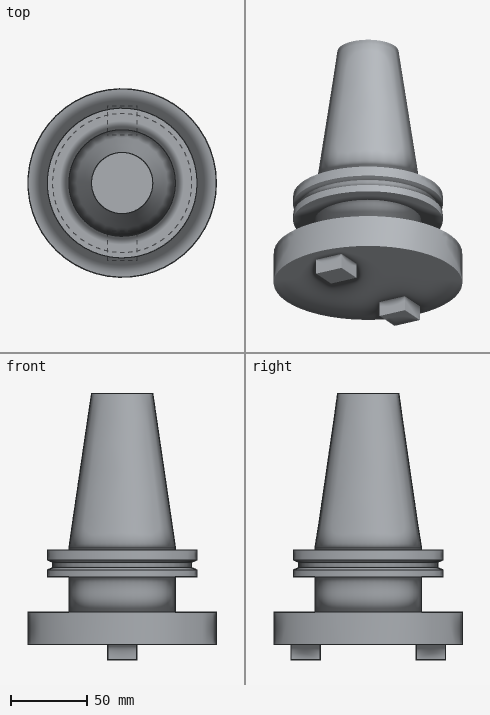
import cadquery as cq

total_height = 174.8
key_height = 10.0
disc_thickness = 21.3
neck_length = 23.0
flange_height = 17.6
collar_height = 1.5

disc_diameter = 123.7
flange_diameter = 98.2
taper_large_diameter = 69.9
taper_small_diameter = 40.2

lower_rim_height = 4.5
upper_rim_height = 6.5
groove_floor_diameter = 91.2
groove_floor_height = 3.5

key_width = 19.2
key_length = 19.2
key_center_offset = 41.0

disc_bottom = key_height
disc_top = disc_bottom + disc_thickness
flange_bottom = disc_top + neck_length
flange_top = flange_bottom + flange_height
taper_bottom = flange_top + collar_height

groove_bottom = flange_bottom + lower_rim_height
groove_top = flange_top - upper_rim_height
groove_middle = (groove_bottom + groove_top) / 2
floor_bottom = groove_middle - groove_floor_height / 2
floor_top = groove_middle + groove_floor_height / 2

disc_radius = disc_diameter / 2
flange_radius = flange_diameter / 2
neck_radius = taper_large_diameter / 2
groove_radius = groove_floor_diameter / 2


def make_body():
    """Revolve the disc, neck, grooved flange and taper as one half profile."""
    profile = [
        (0, disc_bottom),
        (disc_radius, disc_bottom),
        (disc_radius, disc_top),
        (neck_radius, disc_top),
        (neck_radius, flange_bottom),
        (flange_radius, flange_bottom),
        (flange_radius, groove_bottom),
        (groove_radius, floor_bottom),
        (groove_radius, floor_top),
        (flange_radius, groove_top),
        (flange_radius, flange_top),
        (neck_radius, flange_top),
        (neck_radius, taper_bottom),
        (taper_small_diameter / 2, total_height),
        (0, total_height),
    ]
    return cq.Workplane("XZ").polyline(profile).close().revolve(360, (0, 0), (0, 1))


def make_keys():
    """Two drive keys under the disc, opposite each other along Y."""
    return (
        cq.Workplane("XY")
        .pushPoints([(0, -key_center_offset), (0, key_center_offset)])
        .rect(key_width, key_length)
        .extrude(key_height)
    )


result = make_body().union(make_keys())